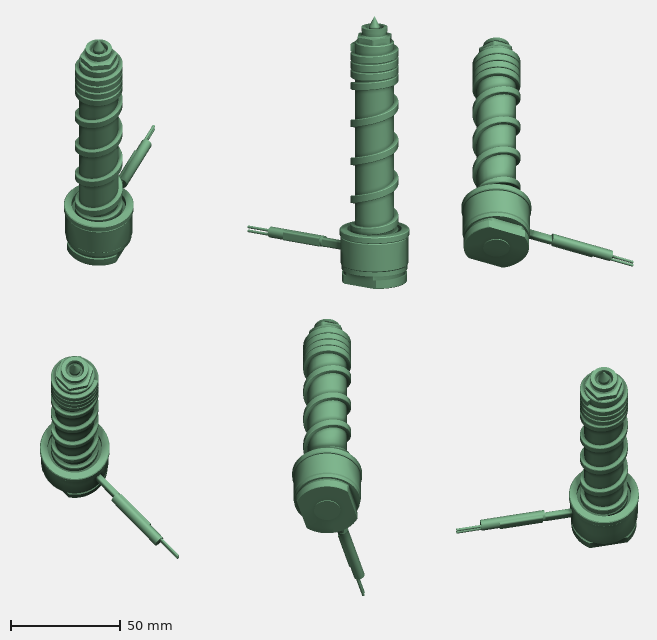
import cadquery as cq
import math

total_height = 126.2
head_top = 121.0
head_bottom = 119.1
neck_bottom = 117.6
hex_top = 117.1
hex_bottom = 114.2
needle_radius = 2.5
needle_cone_height = 5.2
flare_radius = 6.3
head_radius = 6.0
neck_radius = 5.7
hex_across_flats = 15.0
hex_turn = 30.0
hex_corner_radius = 8.5
hex_crown = 0.3
bowl_depth = 1.9
bowl_top_radius = 4.3
bowl_floor_radius = 3.5

barrel_diameter = 18.0
barrel_radius = barrel_diameter / 2
barrel_chamfer = 0.4

flange_top = 25.2
flange_bottom = 22.1
flange_radius = 16.0
flange_chamfer = 0.4
well_radius = 12.5
housing_radius = 15.5
housing_bottom = 8.5
housing_chamfer = 0.5
notch_top = 18.5
notch_flat = 15.1

collar_radius = 15.1
collar_bottom = 6.4
plug_neck_radius = 14.1
plug_neck_bottom = 4.4
plug_radius = 15.0
plug_bottom = 0.4
plug_chamfer = 0.3
plug_across_flats = 24.1
foot_radius = 6.0

ribbon_height = 3.5
ribbon_outer_radius = 11.0
ribbon_bevel = 0.3
ribbon_overlap = 0.5
ribbon_inner_radius = barrel_radius - ribbon_overlap
close_pitch = 4.0
open_pitch = 18.0
coil_base = 20.5
coil_start_angle = -540.0
coil_sections = [
    (360.0, close_pitch, close_pitch),
    (127.0, close_pitch, open_pitch),
    (1222.0, open_pitch, open_pitch),
    (159.0, open_pitch, close_pitch),
    (1317.0, close_pitch, close_pitch),
]
ribbon_point_spacing = 15.0

wire_end = 69.0
sleeve_end = 57.4
sleeve_start = 27.6
sleeve_radius = 2.5
cable_height = 14.9
cable_x = -0.82
cable_size = (2.9, 4.0)
cable_corner = 0.8
cable_root = 13.3
block_start = 28.9
block_end = 49.0
block_x = -1.3
block_size = (2.8, 4.4)
wire_radius = 0.6
wire_x = -1.1
wire_spacing = 1.9


def disc(bottom, top, radius):
    return cq.Workplane("XY").workplane(offset=bottom).circle(radius).extrude(top - bottom)


def make_tip():
    """Needle in a shallow bowl, over a crowned hexagon with trimmed corners."""
    bowl_floor = head_top - bowl_depth
    profile = [
        (0, hex_bottom),
        (flare_radius, hex_bottom),
        (flare_radius, hex_top),
        (neck_radius, neck_bottom),
        (neck_radius, head_bottom),
        (head_radius, head_bottom),
        (head_radius, head_top),
        (bowl_top_radius, head_top),
        (bowl_floor_radius, bowl_floor),
        (needle_radius, bowl_floor),
        (needle_radius, total_height - needle_cone_height),
        (0, total_height),
    ]
    tip = cq.Workplane("XZ").polyline(profile).close().revolve(360, (0, 0), (0, 1))
    sharp_diameter = hex_across_flats / math.cos(math.radians(hex_turn))
    nut = (
        cq.Workplane("XY").workplane(offset=hex_bottom)
        .polygon(6, sharp_diameter).extrude(hex_top - hex_bottom)
        .rotate((0, 0, 0), (0, 0, 1), hex_turn)
    )
    crown_width = hex_corner_radius - flare_radius
    cap = disc(hex_bottom, hex_top, hex_corner_radius).faces(">Z").chamfer(hex_crown, crown_width)
    return tip.union(nut.intersect(cap))


def make_housing():
    """Flanged cup with a well around the coil and a shallow flat where the cable leaves."""
    flange = disc(flange_bottom, flange_top, flange_radius).edges().chamfer(flange_chamfer)
    cup = disc(housing_bottom, flange_bottom, housing_radius).edges().chamfer(housing_chamfer)
    notch = (
        cq.Workplane("XY").workplane(offset=housing_bottom)
        .center(0, notch_flat + flange_radius / 2)
        .rect(2 * flange_radius, flange_radius).extrude(notch_top - housing_bottom)
    )
    well = disc(flange_bottom, flange_top, well_radius)
    return cup.cut(notch).union(flange).cut(well)


def make_plug():
    """Round plug with two wrench flats square to X, under a full collar."""
    plug = disc(plug_bottom, plug_neck_bottom, plug_radius).faces("<Z").chamfer(plug_chamfer)
    plug = plug.union(disc(plug_neck_bottom, collar_bottom, plug_neck_radius))
    flats = cq.Workplane("XY").box(plug_across_flats, 2 * flange_radius, 2 * collar_bottom)
    plug = plug.intersect(flats)
    plug = plug.union(disc(collar_bottom, housing_bottom, collar_radius))
    return plug.union(disc(0, plug_bottom, foot_radius))


def make_ribbon(start_angle, start_height, sweep, start_pitch, end_pitch):
    """One coil section whose pitch changes evenly along its sweep."""
    steps = math.ceil(sweep / ribbon_point_spacing)

    def rise(fraction):
        mean_pitch = start_pitch + (end_pitch - start_pitch) * fraction / 2
        return mean_pitch * sweep * fraction / 360

    def edge(radius, lift):
        points = []
        for step in range(steps + 1):
            fraction = step / steps
            angle = math.radians(start_angle + sweep * fraction)
            height = start_height + lift + rise(fraction)
            points.append(cq.Vector(radius * math.cos(angle), radius * math.sin(angle), height))
        return cq.Edge.makeSpline(points)

    edges = [
        edge(ribbon_inner_radius, 0),
        edge(ribbon_outer_radius - ribbon_bevel, 0),
        edge(ribbon_outer_radius, ribbon_bevel),
        edge(ribbon_outer_radius, ribbon_height - ribbon_bevel),
        edge(ribbon_outer_radius - ribbon_bevel, ribbon_height),
        edge(ribbon_inner_radius, ribbon_height),
    ]
    faces = [cq.Face.makeRuledSurface(edges[i - 1], edges[i]) for i in range(len(edges))]
    for end in (0, 1):
        corners = [e.positionAt(end) for e in edges]
        faces.append(cq.Face.makeFromWires(cq.Wire.makePolygon(corners, close=True)))
    solid = cq.Solid.makeSolid(cq.Shell.makeShell(faces))
    return cq.Workplane(solid.fix()), start_height + rise(1)


def make_coil_sections():
    """All ribbon sections, each starting where the previous one ends."""
    sections = []
    angle = coil_start_angle
    height = coil_base
    for sweep, start_pitch, end_pitch in coil_sections:
        ribbon, height = make_ribbon(angle, height, sweep, start_pitch, end_pitch)
        sections.append(ribbon)
        angle += sweep
    return sections


def along_y(start, x, z):
    """Workplane facing +Y at the given place, with its local Y along Z."""
    plane = cq.Plane(origin=(x, start, z), xDir=(-1, 0, 0), normal=(0, 1, 0))
    return cq.Workplane(plane)


def make_lead():
    """Flat cable into a round sleeve with a raised block, then two bare wires."""
    cable = along_y(cable_root, cable_x, cable_height).rect(*cable_size)
    cable = cable.extrude(sleeve_start - cable_root).edges("|Y").fillet(cable_corner)
    sleeve = along_y(sleeve_start, 0, cable_height).circle(sleeve_radius)
    sleeve = sleeve.extrude(sleeve_end - sleeve_start)
    block = along_y(block_start, block_x, cable_height).rect(*block_size)
    block = block.extrude(block_end - block_start).edges("|Y").fillet(cable_corner)
    wires = along_y(sleeve_end, wire_x, cable_height).rarray(1.3, wire_spacing, 1, 2).circle(wire_radius)
    wires = wires.extrude(wire_end - sleeve_end)
    return cable.union(sleeve).union(block).union(wires)


barrel = disc(housing_bottom, hex_bottom, barrel_radius).faces(">Z").chamfer(barrel_chamfer)
heater = barrel
for section in make_coil_sections():
    heater = heater.union(section)
for body in (make_housing(), make_plug(), make_tip(), make_lead()):
    heater = heater.union(body)
result = cq.Workplane(heater.solids().val())